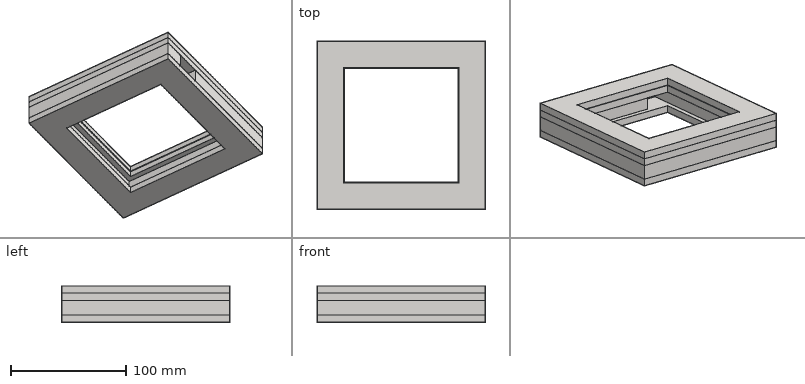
import cadquery as cq

side = 146.0
total_height = 31.7
cover_opening = 100.2
inner_opening = 98.9
cavity_opening = 108.1
gap_width = 23.1

sheet = total_height / 5
spacer_height = 2 * sheet

spacer_bottom = sheet
retainer_bottom = spacer_bottom + spacer_height
cover_bottom = retainer_bottom + sheet


def make_frame(bottom, height, opening):
    """Square frame with a centered square opening."""
    return (
        cq.Workplane("XY")
        .workplane(offset=bottom)
        .rect(side, side)
        .rect(opening, opening)
        .extrude(height)
    )


def make_spacer():
    """Frame around the cavity, with its +Y wall open beside the +X wall."""
    frame = make_frame(spacer_bottom, spacer_height, cavity_opening)
    gap_length = side / 2
    gap = (
        cq.Workplane("XY")
        .box(gap_width, gap_length, spacer_height, centered=False)
        .translate((cavity_opening / 2 - gap_width, 0, spacer_bottom))
    )
    return frame.cut(gap)


base = make_frame(0, sheet, inner_opening)
spacer = make_spacer()
retainer = make_frame(retainer_bottom, sheet, inner_opening)
cover = make_frame(cover_bottom, sheet, cover_opening)

result = cq.Compound.makeCompound([base.val(), spacer.val(), retainer.val(), cover.val()])